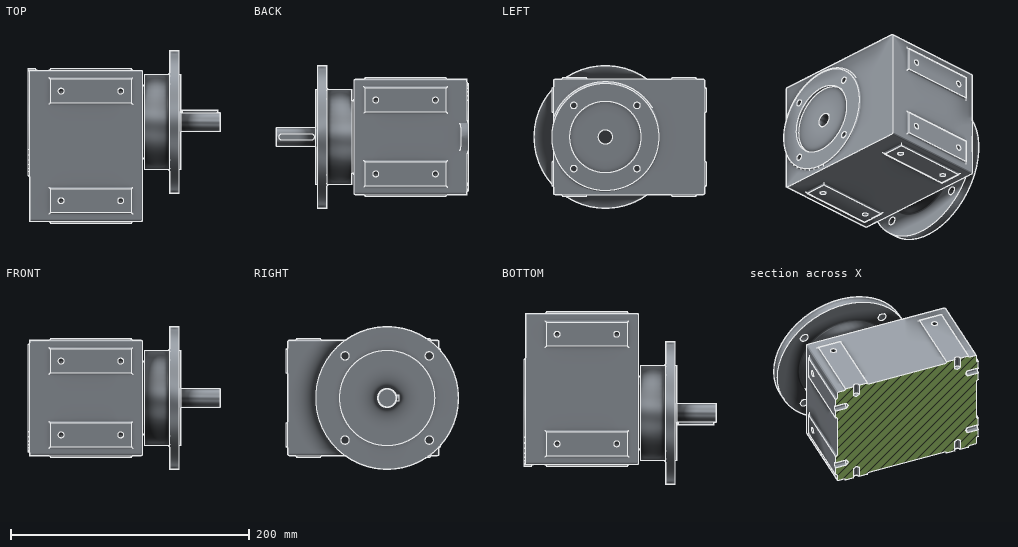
import cadquery as cq
import math

EDGE_RADIUS = 1.5

HOUSING_START = 1.5
HOUSING_LENGTH = 95.0
HOUSING_END = HOUSING_START + HOUSING_LENGTH
NECK_LENGTH = 1.5
HUB_START = HOUSING_END + NECK_LENGTH
FLANGE_START = 119.0
FLANGE_THICKNESS = 8.0
FLANGE_END = FLANGE_START + FLANGE_THICKNESS
PILOT_END = FLANGE_END + 1.5
SHAFT_END = 162.0

HOUSING_CENTRE_Y = -20.0
HOUSING_WIDTH = 127.0
HOUSING_HEIGHT = 97.0
PAD_HEIGHT = 1.5
PAD_LENGTH = 68.0
PAD_WIDTH = 20.0
PAD_CENTRE_X = 53.0
PAD_SPACING_ON_TOP = 92.0
PAD_SPACING_ON_SIDE = 62.0
PAD_HOLE_DIAMETER = 4.92
PAD_HOLE_SPACING = 50.0
PAD_HOLE_DEPTH = 10.0
DRILL_TIP_ANGLE = 118.0

BOLT_COUNT = 4
BOLT_START_ANGLE = 45.0

COVER_DIAMETER = 90.0
COVER_THICKNESS = 6.5
RECESS_DIAMETER = 60.0
RECESS_DEPTH = 3.0
BORE_DIAMETER = 12.0
BORE_DEPTH = 25.0
COVER_HOLE_DIAMETER = 5.5
COVER_HOLE_CIRCLE = 75.0
COVER_HOLE_DEPTH = 12.0

NECK_SIZE = 60.5
NECK_FLAT = 46.0
HUB_DIAMETER = 80.0
FLANGE_DIAMETER = 120.0
FLANGE_HOLE_DIAMETER = 7.0
FLANGE_HOLE_CIRCLE = 100.0
SHAFT_DIAMETER = 16.0
SHAFT_CHAMFER = 0.5
KEY_WIDTH = 5.0
KEY_END = 159.5
KEY_LENGTH = 30.0
KEY_TOP = 10.0


def cylinder(start, end, diameter):
    """Cylinder about the X axis between two stations."""
    return cq.Workplane("YZ", origin=(start, 0, 0)).circle(diameter / 2).extrude(end - start)


def concave_ring(wall_x, diameter):
    """Fillet ring between a cylinder and a wall that closes it on the +X side."""
    inner = diameter / 2
    outer = inner + EDGE_RADIUS
    arc_offset = EDGE_RADIUS * (1 - math.sqrt(0.5))
    return (
        cq.Workplane("XY")
        .moveTo(wall_x - EDGE_RADIUS, inner)
        .threePointArc((wall_x - arc_offset, inner + arc_offset), (wall_x, outer))
        .lineTo(wall_x + EDGE_RADIUS, outer)
        .lineTo(wall_x + EDGE_RADIUS, inner - EDGE_RADIUS)
        .lineTo(wall_x - EDGE_RADIUS, inner - EDGE_RADIUS)
        .close()
        .revolve(360, (0, 0, 0), (1, 0, 0))
    )


def make_housing():
    return (
        cq.Workplane("XY")
        .box(HOUSING_LENGTH, HOUSING_WIDTH, HOUSING_HEIGHT)
        .edges("|X or >X")
        .fillet(EDGE_RADIUS)
        .translate((HOUSING_START + HOUSING_LENGTH / 2, HOUSING_CENTRE_Y, 0))
    )


def pad_planes():
    """Workplanes on the housing faces at each pad centre, with normals pointing outward."""
    planes = []
    for side in (-1, 1):
        for row in (-1, 1):
            top_y = HOUSING_CENTRE_Y + row * PAD_SPACING_ON_TOP / 2
            top_centre = (PAD_CENTRE_X, top_y, side * HOUSING_HEIGHT / 2)
            planes.append(cq.Plane(top_centre, (1, 0, 0), (0, 0, side)))
            side_y = HOUSING_CENTRE_Y + side * HOUSING_WIDTH / 2
            side_centre = (PAD_CENTRE_X, side_y, row * PAD_SPACING_ON_SIDE / 2)
            planes.append(cq.Plane(side_centre, (1, 0, 0), (0, side, 0)))
    return planes


def flare_cutter(plane, length, offset, angle):
    """Round bar that hollows one side of a pad base into a concave fillet."""
    return (
        cq.Workplane(plane)
        .transformed(rotate=(0, 0, angle))
        .transformed(offset=(-length, offset + EDGE_RADIUS, PAD_HEIGHT), rotate=(0, 90, 0))
        .circle(EDGE_RADIUS)
        .extrude(2 * length)
    )


def make_pad(plane):
    """Flat pad whose four sides flare into the housing face."""
    pad = (
        cq.Workplane(plane)
        .workplane(offset=-EDGE_RADIUS)
        .rect(PAD_LENGTH + 2 * EDGE_RADIUS, PAD_WIDTH + 2 * EDGE_RADIUS)
        .extrude(EDGE_RADIUS + PAD_HEIGHT)
    )
    for angle in (0, 180):
        pad = pad.cut(flare_cutter(plane, PAD_LENGTH, PAD_WIDTH / 2, angle))
        pad = pad.cut(flare_cutter(plane, PAD_LENGTH, PAD_LENGTH / 2, angle + 90))
    return pad


def make_pad_holes(plane):
    """Blind drilled holes with conical bottoms."""
    radius = PAD_HOLE_DIAMETER / 2
    tip_depth = radius / math.tan(math.radians(DRILL_TIP_ANGLE / 2))
    drill = (
        cq.Workplane("XZ")
        .polyline([
            (0, PAD_HEIGHT),
            (radius, PAD_HEIGHT),
            (radius, PAD_HEIGHT - PAD_HOLE_DEPTH),
            (0, PAD_HEIGHT - PAD_HOLE_DEPTH - tip_depth),
        ])
        .close()
        .revolve(360, (0, 0, 0), (0, 1, 0))
        .val()
    )
    return (
        cq.Workplane(plane)
        .rarray(PAD_HOLE_SPACING, 1, 2, 1)
        .eachpoint(lambda place: drill.moved(place), combine=False)
    )


def bolt_holes(start, depth, diameter, circle_diameter):
    """Bolt holes along X, evenly spaced on a circle about the X axis."""
    return (
        cq.Workplane("YZ", origin=(start, 0, 0))
        .polarArray(circle_diameter / 2, BOLT_START_ANGLE, 360, BOLT_COUNT)
        .circle(diameter / 2)
        .extrude(depth)
    )


def make_cover_back_blend():
    """Fillet between the cover's back and the +Y housing side, where the cover stands proud."""
    side_y = HOUSING_CENTRE_Y + HOUSING_WIDTH / 2
    end_x = COVER_THICKNESS + EDGE_RADIUS
    corner = (
        cq.Workplane("XY")
        .moveTo(COVER_THICKNESS, side_y + EDGE_RADIUS)
        .radiusArc((end_x, side_y), -EDGE_RADIUS)
        .lineTo(end_x, side_y - EDGE_RADIUS)
        .lineTo(COVER_THICKNESS, side_y - EDGE_RADIUS)
        .close()
        .extrude(COVER_DIAMETER / 2, both=True)
    )
    return corner.intersect(cylinder(COVER_THICKNESS, end_x, COVER_DIAMETER))


def make_cover():
    """Input cover with its fillet against the housing face."""
    housing_slab = (
        cq.Workplane("XY")
        .box(HOUSING_LENGTH, HOUSING_WIDTH, HOUSING_HEIGHT)
        .translate((0, HOUSING_CENTRE_Y, 0))
    )
    front_blend = concave_ring(HOUSING_START, COVER_DIAMETER).intersect(housing_slab)
    cover = cylinder(0, COVER_THICKNESS, COVER_DIAMETER)
    return cover.union(front_blend).union(make_cover_back_blend())


def add_neck(housing):
    """Square neck with round corners, flared where it leaves the housing."""
    corner_radius = (NECK_SIZE - NECK_FLAT) / 2
    neck = (
        cq.Workplane("YZ", origin=(HOUSING_END - EDGE_RADIUS, 0, 0))
        .rect(NECK_SIZE, NECK_SIZE)
        .extrude(EDGE_RADIUS + FLANGE_START - HOUSING_END)
        .edges("|X")
        .fillet(corner_radius)
    )
    reach = NECK_SIZE / 2 + EDGE_RADIUS
    base_edges = cq.selectors.BoxSelector(
        (HOUSING_END - NECK_LENGTH / 2, -reach, -reach),
        (HOUSING_END + NECK_LENGTH / 2, reach, reach),
        boundingbox=True,
    )
    return housing.union(neck).edges(base_edges).fillet(EDGE_RADIUS)


def make_key():
    """Round-ended key on the +Y side of the shaft."""
    return (
        cq.Workplane("XZ", origin=(KEY_END - KEY_LENGTH / 2, 0, 0))
        .slot2D(KEY_LENGTH, KEY_WIDTH)
        .extrude(-KEY_TOP)
    )


def make_output():
    hub = cylinder(HUB_START, PILOT_END, HUB_DIAMETER)
    flange = cylinder(FLANGE_START, FLANGE_END, FLANGE_DIAMETER)
    shaft = cylinder(FLANGE_END, SHAFT_END, SHAFT_DIAMETER).faces(">X").chamfer(SHAFT_CHAMFER)
    holes = bolt_holes(FLANGE_START, FLANGE_THICKNESS, FLANGE_HOLE_DIAMETER, FLANGE_HOLE_CIRCLE)
    output = hub.union(flange).union(concave_ring(FLANGE_START, HUB_DIAMETER))
    return output.union(shaft).union(make_key()).cut(holes)


body = add_neck(make_housing()).union(make_cover()).union(make_output())
for pad_plane in pad_planes():
    body = body.union(make_pad(pad_plane)).cut(make_pad_holes(pad_plane))
body = body.cut(cylinder(0, RECESS_DEPTH, RECESS_DIAMETER))
body = body.cut(cylinder(0, BORE_DEPTH, BORE_DIAMETER))
result = body.cut(bolt_holes(0, COVER_HOLE_DEPTH, COVER_HOLE_DIAMETER, COVER_HOLE_CIRCLE))